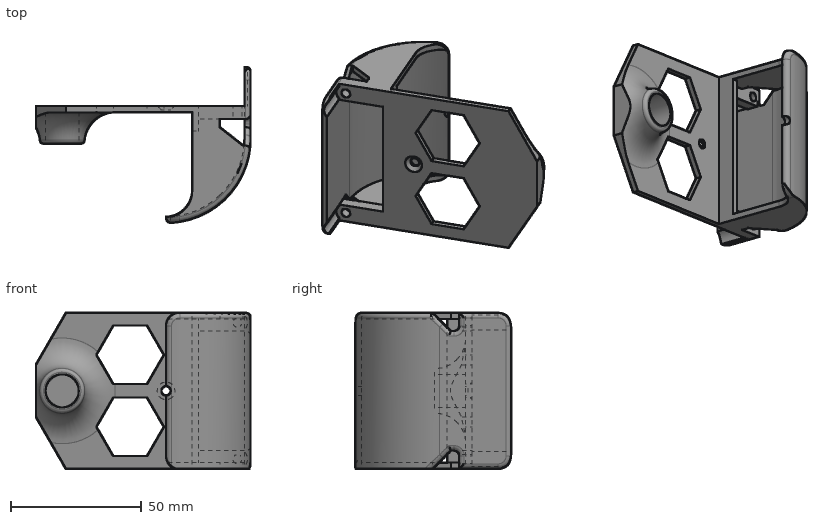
import cadquery as cq
import math

LENGTH = 82.5
HEIGHT = 60.0
MID_Z = HEIGHT / 2
WALL = 2.5
OVERSHOOT = 4.1
TOLERANCE = 0.01

PLATE_FRONT = -WALL
CORNER_CUT = 11.55
CORNER_ANGLE = 60.0
HEX_X = 36.2
HEX_FLATS = 22.35
HEX_SPACING = 27.6
CENTER_HOLE_D = 3.5
COUNTERSINK_DEPTH = 1.65

BOSS_X = 10.15
BOSS_FRONT = -14.5
BOSS_HOLE_D = 12.7
FLARE_OUTER_R = 20.3
FLARE_R = 11.7
BOSS_EDGE_R = 1.5

INNER_X = LENGTH - WALL
FLANGE_BACK = 15.0
SHELL_R = 32.5
SHELL_INNER_R = SHELL_R - WALL
SHELL_CENTER_X = LENGTH - SHELL_R
SHELL_CENTER_Y = -12.45
LIP_X = SHELL_CENTER_X
SHELL_FRONT = SHELL_CENTER_Y - SHELL_R
CORNER_R = 5.0
EDGE_R = 2.0

THROAT_R = 10.0
DIVIDER_X = LIP_X + THROAT_R
DIVIDER_FRONT = -9.6

TAB_FRONT = -5.0
TAB_HEIGHT = 7.0
SCREW_D = 3.5
SCREW_X = 77.4
SCREW_Z = 3.8
GROOVE_R = 3.9
CUTOUT_X = 70.7
CUTOUT_STEP_Y = -8.2
NOTCH_OVERLAP = 0.4
NOTCH_X = INNER_X - NOTCH_OVERLAP
NOTCH_FRONT = CUTOUT_STEP_Y - TAB_HEIGHT


def prism_z(outline, bottom, top):
    """Extrude an outline drawn in XY from one height to another."""
    return outline.close().extrude(top - bottom).translate((0, 0, bottom))


def cylinder_y(x, z, radius, front, back):
    """Cylinder along Y between two places."""
    return cq.Workplane("XZ", origin=(x, back, z)).circle(radius).extrude(back - front)


def box(x_range, y_range, z_range):
    """Box given by its limits along each axis."""
    spans = [end - start for start, end in (x_range, y_range, z_range)]
    corner = (x_range[0], y_range[0], z_range[0])
    return cq.Workplane("XY").box(*spans, centered=False).translate(corner)


def mirrored_pair(shape):
    """The shape together with its mirror image about mid-height."""
    return shape.union(shape.mirror("XY", (0, 0, MID_Z)))


def arc_middle(center, radius, start, end):
    """Point on an arc halfway between two of its points."""
    angles = [math.atan2(p[1] - center[1], p[0] - center[0]) for p in (start, end)]
    middle = sum(angles) / 2
    return (center[0] + radius * math.cos(middle), center[1] + radius * math.sin(middle))


SHELL_CENTER = (SHELL_CENTER_X, SHELL_CENTER_Y)
LIP_INNER = (LIP_X, SHELL_CENTER_Y - SHELL_INNER_R)
LIP_OUTER = (LIP_X, SHELL_FRONT)

THROAT_CENTER = (LIP_X, LIP_INNER[1] + THROAT_R)
THROAT_START = (DIVIDER_X, THROAT_CENTER[1])
THROAT_MIDDLE = arc_middle(THROAT_CENTER, THROAT_R, THROAT_START, LIP_INNER)


def bracket_block():
    """Plate, flange, side plates and shell as one solid profile."""
    shell_start = (LENGTH, SHELL_CENTER_Y)
    outline = (
        cq.Workplane("XY")
        .moveTo(0, 0)
        .lineTo(0, PLATE_FRONT)
        .lineTo(DIVIDER_X, PLATE_FRONT)
        .lineTo(*THROAT_START)
        .threePointArc(THROAT_MIDDLE, LIP_INNER)
        .lineTo(*LIP_OUTER)
        .threePointArc(arc_middle(SHELL_CENTER, SHELL_R, LIP_OUTER, shell_start), shell_start)
        .lineTo(LENGTH, FLANGE_BACK)
        .lineTo(INNER_X, FLANGE_BACK)
        .lineTo(INNER_X, 0)
    )
    return prism_z(outline, 0, HEIGHT)


def cavity():
    """Space between the side plates, open to the left and, between the tabs, to the back."""
    inner_start = (INNER_X, SHELL_CENTER_Y)
    cavity_left = DIVIDER_X + WALL
    outline = (
        cq.Workplane("XY")
        .moveTo(cavity_left, TAB_FRONT)
        .lineTo(cavity_left, DIVIDER_FRONT)
        .lineTo(LIP_X, DIVIDER_FRONT)
        .lineTo(*LIP_INNER)
        .threePointArc(arc_middle(SHELL_CENTER, SHELL_INNER_R, LIP_INNER, inner_start), inner_start)
        .lineTo(INNER_X, TAB_FRONT)
    )
    chamber = prism_z(outline, WALL, HEIGHT - WALL)
    back_opening = box((cavity_left, INNER_X), (TAB_FRONT, 0), (TAB_HEIGHT, HEIGHT - TAB_HEIGHT))
    return chamber.union(back_opening)


def screw_cutouts():
    """Openings through both side plates in front of the screw tabs."""
    outline = (
        cq.Workplane("XY")
        .moveTo(CUTOUT_X, TAB_FRONT)
        .lineTo(CUTOUT_X, CUTOUT_STEP_Y)
        .lineTo(NOTCH_X, NOTCH_FRONT)
        .lineTo(INNER_X, NOTCH_FRONT)
        .lineTo(INNER_X, TAB_FRONT)
    )
    return mirrored_pair(prism_z(outline, 0, WALL))


def shell_notches():
    """Notches in the shell at both ends, with one slope at 45 degrees."""
    profile = (
        cq.Workplane("YZ", origin=(NOTCH_X, 0, 0))
        .moveTo(TAB_FRONT, 0)
        .lineTo(TAB_FRONT, TAB_HEIGHT - EDGE_R)
        .radiusArc((TAB_FRONT - EDGE_R, TAB_HEIGHT), -EDGE_R)
        .lineTo(CUTOUT_STEP_Y, TAB_HEIGHT)
        .lineTo(NOTCH_FRONT, 0)
        .close()
    )
    return mirrored_pair(profile.extrude(LENGTH - NOTCH_X + OVERSHOOT))


def lip_corner():
    """Waste outside the rounded upper corner of the lip."""
    center_x = LIP_X + CORNER_R
    center_z = HEIGHT - CORNER_R
    front = SHELL_FRONT - OVERSHOOT
    back = THROAT_CENTER[1]
    block = box((LIP_X - OVERSHOOT, center_x), (front, back), (center_z, HEIGHT + OVERSHOOT))
    return block.cut(cylinder_y(center_x, center_z, CORNER_R, front, back))


def on_outer_face(point):
    """True for points on the outer face of the flange and shell."""
    if point.y > SHELL_CENTER_Y:
        return abs(point.x - LENGTH) < TOLERANCE
    distance = math.hypot(point.x - SHELL_CENTER_X, point.y - SHELL_CENTER_Y)
    return abs(distance - SHELL_R) < TOLERANCE


def is_rounded_edge(edge):
    """True for the outline edges of the outer face, except the shell's bottom edge."""
    start, middle, end = [edge.positionAt(t) for t in (0, 0.5, 1)]
    is_seam = math.hypot(middle.x - LENGTH, middle.y - SHELL_CENTER_Y) < TOLERANCE
    is_shell_bottom = middle.z < TOLERANCE and middle.y < NOTCH_FRONT
    return all(map(on_outer_face, (start, middle, end))) and not is_seam and not is_shell_bottom


def boss():
    """Flared round boss, rooted inside the plate."""
    flare_center = (FLARE_OUTER_R, PLATE_FRONT - FLARE_R)
    edge_y = BOSS_FRONT + BOSS_EDGE_R
    neck_r = FLARE_OUTER_R - math.sqrt(FLARE_R**2 - (edge_y - flare_center[1]) ** 2)
    neck = (neck_r, edge_y)
    foot = (FLARE_OUTER_R, PLATE_FRONT)
    flare_middle = arc_middle(flare_center, FLARE_R, neck, foot)
    root_y = PLATE_FRONT / 2
    return (
        cq.Workplane("XY")
        .moveTo(0, root_y)
        .lineTo(0, BOSS_FRONT)
        .lineTo(neck_r - BOSS_EDGE_R, BOSS_FRONT)
        .radiusArc(neck, -BOSS_EDGE_R)
        .threePointArc(flare_middle, foot)
        .lineTo(FLARE_OUTER_R, root_y)
        .close()
        .revolve(360, (0, 0, 0), (0, 1, 0))
        .translate((BOSS_X, 0, MID_Z))
    )


def plate_corner_cuts():
    """Waste left of the plate's slanted corners and left edge."""
    rise = CORNER_CUT * math.tan(math.radians(CORNER_ANGLE))
    corner = (
        cq.Workplane("XZ", origin=(0, OVERSHOOT, 0))
        .polyline([(0, 0), (CORNER_CUT, 0), (0, rise)])
        .close()
        .extrude(2 * OVERSHOOT - BOSS_FRONT)
    )
    left = box((-FLARE_OUTER_R, 0), (BOSS_FRONT - OVERSHOOT, OVERSHOOT), (0, HEIGHT))
    return mirrored_pair(corner).union(left)


def countersink():
    """45 degree countersink for the center hole, in the plate's back face."""
    hole_r = CENTER_HOLE_D / 2
    rim = (hole_r + COUNTERSINK_DEPTH, 0)
    root = (hole_r, -COUNTERSINK_DEPTH)
    return (
        cq.Workplane("XY")
        .polyline([(0, 0), rim, root, (0, -COUNTERSINK_DEPTH)])
        .close()
        .revolve(360, (0, 0, 0), (0, 1, 0))
        .translate((LIP_X, 0, MID_Z))
    )


def hex_windows():
    """Two hexagonal windows through the plate and the boss flare."""
    lower = (
        cq.Workplane("XZ", origin=(HEX_X, OVERSHOOT, MID_Z - HEX_SPACING / 2))
        .polygon(6, HEX_FLATS / math.cos(math.pi / 6))
        .extrude(OVERSHOOT - BOSS_FRONT)
    )
    return mirrored_pair(lower)


body = bracket_block().cut(cavity()).cut(screw_cutouts()).cut(shell_notches())

body = body.edges("|X and >Y").fillet(CORNER_R)
body = body.cut(lip_corner())
rounded_edges = [edge for edge in body.edges().vals() if is_rounded_edge(edge)]
body = body.newObject(rounded_edges).fillet(EDGE_R)

body = body.cut(lip_corner().mirror("XY", (0, 0, MID_Z)))

body = body.union(boss()).cut(plate_corner_cuts()).cut(hex_windows())
body = body.cut(cylinder_y(BOSS_X, MID_Z, BOSS_HOLE_D / 2, BOSS_FRONT, PLATE_FRONT))
body = body.cut(cylinder_y(LIP_X, MID_Z, CENTER_HOLE_D / 2, SHELL_FRONT, 0))
body = body.cut(countersink())

body = body.cut(mirrored_pair(cylinder_y(SCREW_X, SCREW_Z, SCREW_D / 2, TAB_FRONT, 0)))
body = body.cut(mirrored_pair(cylinder_y(SCREW_X, SCREW_Z, GROOVE_R, 0, FLANGE_BACK)))

result = body